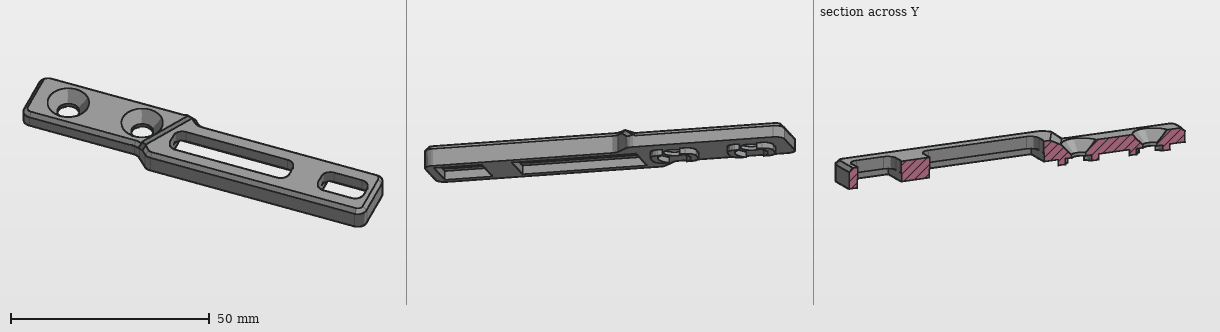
import cadquery as cq
import math

length = 94.35
depth = 19.2
jog = 4.0
arm_width = depth - jog
front_jog_x = 31.7
rear_jog_x = 40.1
corner_radius = 2.4

low_height = 4.0
high_height = 5.5
ramp_angle = 30.0
top_chamfer = 1.0

bore_diameter = 5.6
sink_diameter = 10.5
sink_depth = 3.0
first_hole_x = 9.9
hole_spacing = 20.0
hole_y = jog + arm_width / 2
hole_centres = [(first_hole_x, hole_y), (first_hole_x + hole_spacing, hole_y)]

tab_length = 11.8
tab_width = 7.0
tab_height = 1.5
tab_relief_diameter = 8.3

slot_width = 7.0
slot_y = arm_width / 2
slot_spans = [(39.5, 71.8), (79.6, 92.0)]
recess_depth = 2.3
recess_width = 10.9

front_jog_middle = (front_jog_x + jog / 2, jog / 2, high_height)
rear_jog_middle = (rear_jog_x + jog / 2, arm_width + jog / 2, high_height)
ramp_skew = math.atan2(arm_width, rear_jog_x - front_jog_x)


def make_slab(height):
    """Flat plate of the full outline, rounded at its corners and chamfered around its top."""
    outline = [
        (0, jog),
        (front_jog_x, jog),
        (front_jog_x + jog, 0),
        (length, 0),
        (length, arm_width),
        (rear_jog_x + jog, arm_width),
        (rear_jog_x, depth),
        (0, depth),
    ]
    slab = cq.Workplane("XY").polyline(outline).close().extrude(height)
    slab = slab.edges("|Z").fillet(corner_radius)
    return slab.faces(">Z").edges().chamfer(top_chamfer)


def make_ramp_cutter():
    """Everything on the low side of the ramp plane, down to the underside."""
    run = high_height / math.tan(math.radians(ramp_angle))
    profile = [(0, high_height), (-run, 0), (-length, 0), (-length, high_height)]
    cutter = cq.Workplane("XZ").polyline(profile).close().extrude(length, both=True)
    turned = cutter.rotate((0, 0, 0), (0, 0, 1), math.degrees(ramp_skew) - 90)
    return turned.translate((front_jog_middle[0], front_jog_middle[1], 0))


def make_ramp_edge_cutter(top_point, inward):
    """Chamfer cutter along the edge where the ramp meets a jog wall; inward is 1 at the front, -1 at the rear."""
    climb = math.tan(math.radians(ramp_angle)) * (math.sin(ramp_skew) + math.cos(ramp_skew))
    plane = cq.Plane(origin=top_point, xDir=(inward, inward, 0), normal=(inward, -inward, inward * climb))
    c = top_chamfer
    triangle = [(-c, -2 * c), (2 * c, c), (-c, c)]
    return cq.Workplane(plane).polyline(triangle).close().extrude(2 * high_height, both=True)


def make_plate():
    """Low slab joined to the high slab, which is cut back to the ramp."""
    high_arm = make_slab(high_height).cut(make_ramp_cutter())
    high_arm = high_arm.cut(make_ramp_edge_cutter(front_jog_middle, 1))
    high_arm = high_arm.cut(make_ramp_edge_cutter(rear_jog_middle, -1))
    return make_slab(low_height).union(high_arm)


def make_tabs():
    """A pair of locating tabs below each screw hole."""
    block = cq.Workplane("XY").pushPoints(hole_centres).rect(tab_length, tab_width).extrude(-tab_height)
    block = block.edges("|Z").fillet(corner_radius)
    relief = cq.Workplane("XY").pushPoints(hole_centres).circle(tab_relief_diameter / 2).extrude(-tab_height)
    return block.cut(relief)


def make_countersink(x, y):
    """Screw bore with a conical seat that opens straight up above the low face."""
    bore_radius = bore_diameter / 2
    sink_radius = sink_diameter / 2
    profile = [
        (0, 0),
        (bore_radius, 0),
        (bore_radius, low_height - sink_depth),
        (sink_radius, low_height),
        (sink_radius, high_height),
        (0, high_height),
    ]
    cutter = cq.Workplane("XZ").polyline(profile).close().revolve(360, (0, 0), (0, 1))
    return cutter.translate((x, y, 0))


def make_slot(start_x, end_x):
    """Through slot with rounded corners, over a wider recess of the same length in the underside."""
    base = cq.Workplane("XY").center((start_x + end_x) / 2, slot_y)
    slot = base.rect(end_x - start_x, slot_width).extrude(high_height)
    slot = slot.edges("|Z").fillet(corner_radius)
    recess = base.rect(end_x - start_x, recess_width).extrude(recess_depth)
    return slot.union(recess)


result = make_plate().union(make_tabs())
for centre_x, centre_y in hole_centres:
    result = result.cut(make_countersink(centre_x, centre_y))
for slot_start, slot_end in slot_spans:
    result = result.cut(make_slot(slot_start, slot_end))